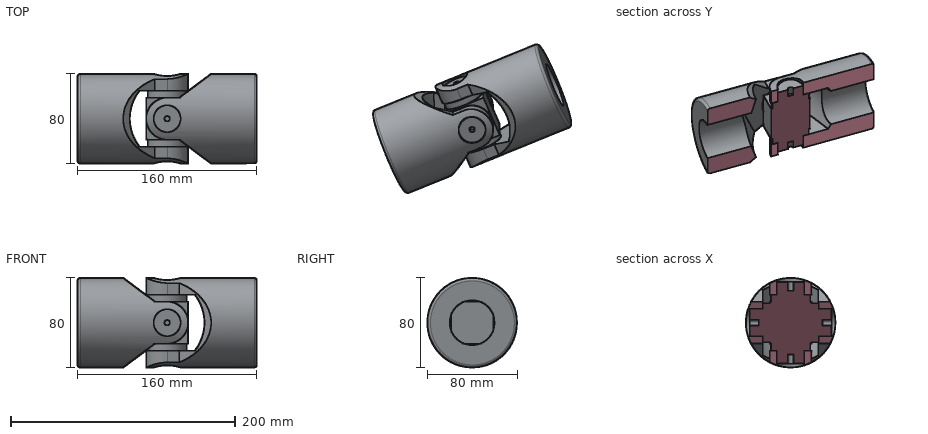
import cadquery as cq

JOINT_LENGTH = 160.0
YOKE_DIAMETER = 80.0
BORE_DIAMETER = 40.0
END_ROUND = 2.5

CUBE_SIDE = 37.5
BOSS_DIAMETER = 35.0
TRUNNION_DIAMETER = 24.0
TRUNNION_SPAN = 73.0
CENTRE_HOLE_DIAMETER = 4.8
CENTRE_HOLE_DEPTH = 8.0

FORK_GAP = 49.6
ARM_STRAIGHT = 10.9
FLARE_END = 39.2
SLOT_MID_RADIUS = 43.5
SLOT_SIDE_RADIUS = 31.8

HALF_LENGTH = JOINT_LENGTH / 2
YOKE_RADIUS = YOKE_DIAMETER / 2
ARM_RADIUS = CUBE_SIDE / 2


def fork_outline():
    """Prism, seen along Z, with a rounded arm tip that flares out to the full shank."""
    return (
        cq.Workplane("XY")
        .moveTo(0, ARM_RADIUS)
        .threePointArc((-ARM_RADIUS, 0), (0, -ARM_RADIUS))
        .lineTo(ARM_STRAIGHT, -ARM_RADIUS)
        .lineTo(FLARE_END, -YOKE_RADIUS)
        .lineTo(HALF_LENGTH, -YOKE_RADIUS)
        .lineTo(HALF_LENGTH, YOKE_RADIUS)
        .lineTo(FLARE_END, YOKE_RADIUS)
        .lineTo(ARM_STRAIGHT, ARM_RADIUS)
        .close()
        .extrude(YOKE_RADIUS, both=True)
    )


def fork_slot():
    """Slot along Y between the arms, its floor turned about Y and deepest at mid-width."""
    barrel = (
        cq.Workplane("XY")
        .moveTo(0, -YOKE_RADIUS)
        .lineTo(SLOT_SIDE_RADIUS, -YOKE_RADIUS)
        .lineTo(SLOT_MID_RADIUS, 0)
        .lineTo(SLOT_SIDE_RADIUS, YOKE_RADIUS)
        .lineTo(0, YOKE_RADIUS)
        .close()
        .revolve(360, (0, 0, 0), (0, 1, 0))
    )
    gap = cq.Workplane("XY").box(YOKE_DIAMETER + FORK_GAP, YOKE_DIAMETER, FORK_GAP)
    return barrel.intersect(gap)


def make_yoke():
    """Yoke on the +X side, with its arms above and below the joint centre."""
    shank = (
        cq.Workplane("YZ", origin=(-ARM_RADIUS, 0, 0))
        .circle(YOKE_RADIUS)
        .extrude(HALF_LENGTH + ARM_RADIUS)
        .faces(">X")
        .fillet(END_ROUND)
    )
    bore = cq.Workplane("YZ").circle(BORE_DIAMETER / 2).extrude(HALF_LENGTH)
    trunnion_holes = cq.Workplane("XY").circle(TRUNNION_DIAMETER / 2).extrude(YOKE_RADIUS, both=True)
    return shank.intersect(fork_outline()).cut(fork_slot()).cut(bore).cut(trunnion_holes)


def make_cross():
    """Centre block with a shouldered, centre-drilled trunnion on each of four sides."""
    cross = cq.Workplane("XY").box(CUBE_SIDE, CUBE_SIDE, CUBE_SIDE)
    hole_floor = TRUNNION_SPAN / 2 - CENTRE_HOLE_DEPTH
    for plane in ("XY", "XZ"):
        bosses = cq.Workplane(plane).circle(BOSS_DIAMETER / 2).extrude(FORK_GAP / 2, both=True)
        trunnions = cq.Workplane(plane).circle(TRUNNION_DIAMETER / 2).extrude(TRUNNION_SPAN / 2, both=True)
        cross = cross.union(bosses).union(trunnions)
        for side in (1, -1):
            centre_hole = (
                cq.Workplane(plane)
                .workplane(offset=side * hole_floor)
                .circle(CENTRE_HOLE_DIAMETER / 2)
                .extrude(side * CENTRE_HOLE_DEPTH)
            )
            cross = cross.cut(centre_hole)
    return cross


yokes = []
for facing_angle, roll_angle in ((0, 0), (180, 90)):
    yoke = (
        make_yoke()
        .rotate((0, 0, 0), (0, 0, 1), facing_angle)
        .rotate((0, 0, 0), (1, 0, 0), roll_angle)
    )
    yokes.append(yoke)

cross = make_cross()

result = cq.Compound.makeCompound([*[yoke.val() for yoke in yokes], cross.val()])